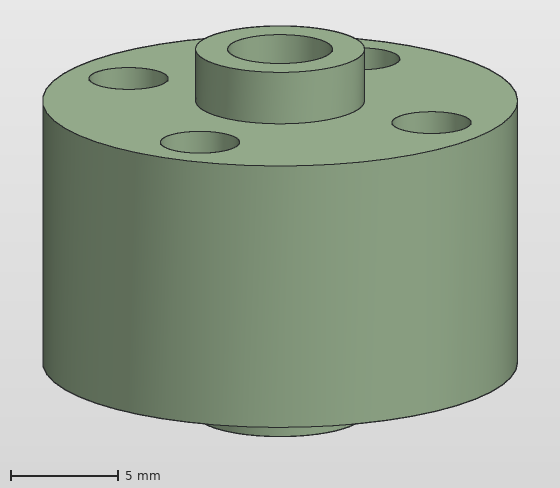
import cadquery as cq

body_diameter = 22.2
body_height = 12.7
hub_diameter = 7.9
hub_projection = 2.5
bore_diameter = 4.9
hole_diameter = 3.7
hole_count = 4
hole_circle_radius = 8.0

total_height = body_height + 2 * hub_projection


def centered_cylinder(diameter, height):
    """Cylinder on the Z axis, centred about the XY plane."""
    base_plane = cq.Workplane("XY").workplane(offset=-height / 2)
    return base_plane.circle(diameter / 2).extrude(height)


def make_blank():
    """Round body with a hub projecting from both faces."""
    body = centered_cylinder(body_diameter, body_height)
    hub = centered_cylinder(hub_diameter, total_height)
    return body.union(hub)


def make_hole_pattern():
    """Through holes evenly spaced around the hub."""
    return (
        cq.Workplane("XY")
        .workplane(offset=-body_height / 2)
        .polarArray(hole_circle_radius, 0, 360, hole_count)
        .circle(hole_diameter / 2)
        .extrude(body_height)
    )


bore = centered_cylinder(bore_diameter, total_height)

result = make_blank().cut(bore).cut(make_hole_pattern())